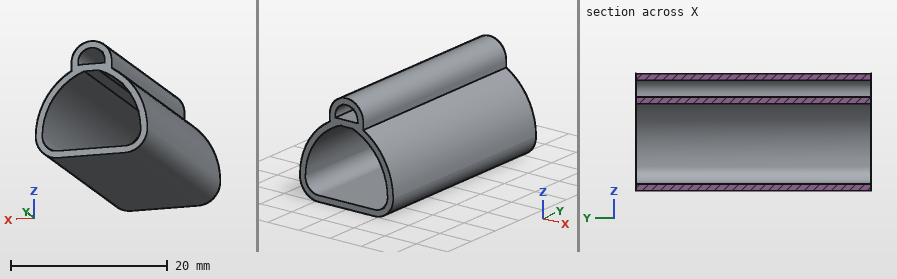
import cadquery as cq
import math

length = 30.0
width = 15.0
height = 15.0
wall = 0.9
corner_radius = 3.0
side_radius = 9.55
loop_radius = 2.7
loop_floor = 12.0

half_width = width / 2
loop_center = height - loop_radius
cavity_roof = loop_floor - wall
side_center_x = half_width - side_radius


def side_x(radius, z):
    """Half width of the domed side at height z, for a side arc of the given radius."""
    return side_center_x + math.sqrt(radius**2 - (z - corner_radius) ** 2)


def side_z(radius, x):
    """Height of the domed side at distance x from the middle plane."""
    return corner_radius + math.sqrt(radius**2 - (x - side_center_x) ** 2)


def extrude_along_y(profile):
    return profile.close().extrude(length / 2, both=True)


def domed_body(inset, top):
    """Flat-bottomed bar with rounded corners and arched sides, cut flat at the given top height."""
    side_r = side_radius - inset
    corner_r = corner_radius - inset
    corner_x = half_width - corner_radius
    edge_x = half_width - inset
    top_x = side_x(side_r, top)
    mid_z = (corner_radius + top) / 2
    mid_x = side_x(side_r, mid_z)
    diagonal = corner_r * math.sqrt(0.5)
    corner_mid = (corner_x + diagonal, corner_radius - diagonal)
    profile = (
        cq.Workplane("XZ")
        .moveTo(-corner_x, inset)
        .lineTo(corner_x, inset)
        .threePointArc(corner_mid, (edge_x, corner_radius))
        .threePointArc((mid_x, mid_z), (top_x, top))
        .lineTo(-top_x, top)
        .threePointArc((-mid_x, mid_z), (-edge_x, corner_radius))
        .threePointArc((-corner_mid[0], corner_mid[1]), (-corner_x, inset))
    )
    return extrude_along_y(profile)


def arched_loop(radius, bottom):
    """Round-topped bar standing on a flat bottom."""
    profile = (
        cq.Workplane("XZ")
        .moveTo(-radius, bottom)
        .lineTo(radius, bottom)
        .lineTo(radius, loop_center)
        .threePointArc((0, loop_center + radius), (-radius, loop_center))
    )
    return extrude_along_y(profile)


shoulder = side_z(side_radius, loop_radius)
outer = domed_body(0, shoulder).union(arched_loop(loop_radius, shoulder))

cavity = domed_body(wall, cavity_roof)
loop_hole = arched_loop(loop_radius - wall, loop_floor)

result = outer.cut(cavity).cut(loop_hole)